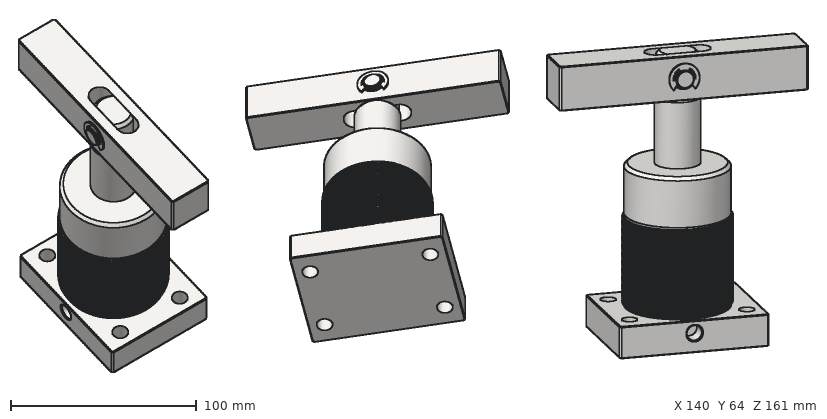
import cadquery as cq
import math

BASE_LENGTH = 84.0
BASE_WIDTH = 64.0
BASE_HEIGHT = 18.0
MOUNT_HOLE_DIA = 8.5
MOUNT_SPACING_X = 66.0
MOUNT_SPACING_Y = 40.0

PORT_RADIUS = 4.2
PORT_DEPTH = 10.0
PORT_CHAMFER = 0.6
PORT_Z = 11.0

BARREL_RADIUS = 29.0
BARREL_TOP_Z = 97.9
BARREL_CHAMFER = 2.0
THREAD_BAND_BOTTOM_Z = 18.8
THREAD_BAND_HEIGHT = 50.9
THREAD_ROOT_RADIUS = 29.1
THREAD_CREST_RADIUS = 30.0
THREAD_TURNS = 33
THREAD_LENGTH = 49.5
THREAD_PITCH = THREAD_LENGTH / THREAD_TURNS
THREAD_RIDGE_WIDTH = 0.9 * THREAD_PITCH
THREAD_START_Z = THREAD_BAND_BOTTOM_Z + (THREAD_BAND_HEIGHT - THREAD_LENGTH) / 2
THREAD_START_ANGLE = 120
THREAD_EMBEDMENT = 0.2

BAR_LENGTH = 140.0
BAR_SECTION = 25.0
BAR_TOP_Z = 161.0
BAR_BOTTOM_Z = BAR_TOP_Z - BAR_SECTION
SLOT_LENGTH = 37.0
SLOT_WIDTH = 12.0

CORNER_CHAMFER = 1.0
FACE_CHAMFER = 0.5

ROD_RADIUS = 12.5
ROD_CHAMFER = 1.0
TONGUE_RADIUS = ROD_RADIUS - ROD_CHAMFER
TONGUE_TOP_Z = BAR_TOP_Z
TONGUE_CHAMFER = 2.0

PIN_RADIUS = 5.0
PIN_LENGTH = 30.0
PIN_CHAMFER = 0.5
PIN_Z = BAR_TOP_Z - BAR_SECTION / 2
PIN_HOLE_COUNTERSINK = 1.1
GROOVE_RADIUS = 4.0
CLIP_RADIUS = 8.5
CLIP_THICKNESS = 1.0
CLIP_MOUTH_HALF_WIDTH = 3.4
CLIP_MOUTH_TOP = -2.1
CLIP_MOUTH_FLARE = 34
CLIP_RECESS_RADIUS = 6.3
CLIP_RECESSES = [(-5, 21), (30, 61)]


def chamfered_block(length, width, height, bottom_z):
    """Rectangular block with broken vertical corners and lightly broken end faces."""
    block = cq.Workplane("XY").workplane(offset=bottom_z).rect(length, width).extrude(height)
    block = block.edges("|Z").chamfer(CORNER_CHAMFER)
    return block.faces("<Z or >Z").edges().chamfer(FACE_CHAMFER)


def cylinder_y(radius, y_start, y_end, z):
    """Cylinder along Y, centred on X = 0 at height z."""
    return cq.Workplane("XZ", origin=(0, y_start, z)).circle(radius).extrude(y_start - y_end)


def countersink_y(hole_radius, depth, y_face, z, inward):
    """Conical 45 degree hole mouth starting on the face y = y_face; inward is +1 or -1 along Y."""
    return cq.Solid.makeCone(
        hole_radius + depth, hole_radius, depth, cq.Vector(0, y_face, z), cq.Vector(0, inward, 0)
    )


def make_flange():
    flange = chamfered_block(BASE_LENGTH, BASE_WIDTH, BASE_HEIGHT, 0)
    mount_holes = (
        cq.Workplane("XY")
        .rect(MOUNT_SPACING_X, MOUNT_SPACING_Y, forConstruction=True)
        .vertices()
        .circle(MOUNT_HOLE_DIA / 2)
        .extrude(BASE_HEIGHT)
    )
    return flange.cut(mount_holes)


def make_port():
    """Material removed by the blind port and its chamfered mouth."""
    front_y = -BASE_WIDTH / 2
    port = cylinder_y(PORT_RADIUS, front_y, front_y + PORT_DEPTH, PORT_Z)
    return port.union(cq.Workplane(countersink_y(PORT_RADIUS, PORT_CHAMFER, front_y, PORT_Z, 1)))


def make_thread_ridge():
    """Right-hand triangular ridge, bounded turn by turn by ruled faces between three helices."""
    foot_radius = THREAD_ROOT_RADIUS - THREAD_EMBEDMENT
    half_width = THREAD_RIDGE_WIDTH / 2
    corners = [(foot_radius, -half_width), (THREAD_CREST_RADIUS, 0), (foot_radius, half_width)]
    origin = cq.Vector(0, 0, 0)
    z_axis = cq.Vector(0, 0, 1)

    side_faces = []
    for turn in range(THREAD_TURNS):
        turn_z = THREAD_START_Z + turn * THREAD_PITCH
        rails = []
        for radius, offset in corners:
            helix = cq.Wire.makeHelix(THREAD_PITCH, THREAD_PITCH, radius)
            helix = helix.rotate(origin, z_axis, THREAD_START_ANGLE)
            rails.append(helix.translate(cq.Vector(0, 0, turn_z + offset)).Edges()[0])
        for i in range(len(rails)):
            side_faces.append(cq.Face.makeRuledSurface(rails[i - 1], rails[i]))

    end_faces = []
    for end_z in (THREAD_START_Z, THREAD_START_Z + THREAD_LENGTH):
        outline = [cq.Vector(radius, 0, end_z + offset) for radius, offset in corners]
        end_face = cq.Face.makeFromWires(cq.Wire.makePolygon(outline, close=True))
        end_faces.append(end_face.rotate(origin, z_axis, THREAD_START_ANGLE))

    ridge = cq.Solid.makeSolid(cq.Shell.makeShell(side_faces + end_faces))
    return cq.Workplane(ridge.fix())


def make_barrel():
    barrel = cq.Workplane("XY").circle(BARREL_RADIUS).extrude(BARREL_TOP_Z)
    barrel = barrel.faces(">Z").edges().chamfer(BARREL_CHAMFER)
    thread_band = (
        cq.Workplane("XY")
        .workplane(offset=THREAD_BAND_BOTTOM_Z)
        .circle(THREAD_ROOT_RADIUS)
        .extrude(THREAD_BAND_HEIGHT)
    )
    return barrel.union(thread_band)


def make_rod():
    rod = cq.Workplane("XY").circle(ROD_RADIUS).extrude(BAR_BOTTOM_Z)
    rod = rod.faces(">Z").edges().chamfer(ROD_CHAMFER)
    tongue = cq.Workplane("XY").circle(TONGUE_RADIUS).extrude(TONGUE_TOP_Z)
    tongue = tongue.faces(">Z").edges().chamfer(TONGUE_CHAMFER)
    tongue = tongue.intersect(cq.Workplane("XY").box(BAR_LENGTH, SLOT_WIDTH, 2 * BAR_TOP_Z))
    pin_hole = cylinder_y(PIN_RADIUS, -BAR_SECTION / 2, BAR_SECTION / 2, PIN_Z)
    return rod.union(tongue).cut(pin_hole)


def make_cylinder_body():
    """Flange, threaded barrel and rod in one piece."""
    threaded_barrel = make_barrel().union(make_thread_ridge())
    return threaded_barrel.union(make_flange()).union(make_rod()).cut(make_port())


def make_bar():
    bar = chamfered_block(BAR_LENGTH, BAR_SECTION, BAR_SECTION, BAR_BOTTOM_Z)
    slot = (
        cq.Workplane("XY")
        .workplane(offset=BAR_BOTTOM_Z)
        .slot2D(SLOT_LENGTH, SLOT_WIDTH)
        .extrude(BAR_SECTION)
    )
    half_width = BAR_SECTION / 2
    bar = bar.cut(slot).cut(cylinder_y(PIN_RADIUS, -half_width, half_width, PIN_Z))
    for side in (-1, 1):
        bar = bar.cut(countersink_y(PIN_RADIUS, PIN_HOLE_COUNTERSINK, side * half_width, PIN_Z, -side))
    return bar


def clip_disc(radius, side):
    """Disc in the space of the clip that sits against the bar face on the given side (-1 or +1)."""
    bar_face = side * BAR_SECTION / 2
    return cylinder_y(radius, bar_face, bar_face + side * CLIP_THICKNESS, PIN_Z)


def make_pin():
    half_length = PIN_LENGTH / 2
    pin = cylinder_y(PIN_RADIUS, -half_length, half_length, PIN_Z)
    pin = pin.faces("<Y or >Y").edges().chamfer(PIN_CHAMFER)
    for side in (-1, 1):
        pin = pin.cut(clip_disc(PIN_RADIUS, side).cut(clip_disc(GROOVE_RADIUS, side)))
    return pin


def polar(radius, angle):
    """Point at a radius and an angle in degrees."""
    return (radius * math.cos(math.radians(angle)), radius * math.sin(math.radians(angle)))


def make_clip(side):
    """Open retaining ring with its mouth facing down and relief recesses around the groove."""
    clip = clip_disc(CLIP_RADIUS, side).cut(clip_disc(GROOVE_RADIUS, side))
    plane = cq.Workplane("XZ", origin=(0, side * BAR_SECTION / 2, PIN_Z))
    thickness = -side * CLIP_THICKNESS

    mouth_bottom = -CLIP_RADIUS
    flare = (CLIP_MOUTH_TOP - mouth_bottom) * math.tan(math.radians(CLIP_MOUTH_FLARE))
    outer_half_width = CLIP_MOUTH_HALF_WIDTH + flare
    mouth = plane.polyline([
        (0, 0),
        (-CLIP_MOUTH_HALF_WIDTH, CLIP_MOUTH_TOP),
        (-outer_half_width, mouth_bottom),
        (outer_half_width, mouth_bottom),
        (CLIP_MOUTH_HALF_WIDTH, CLIP_MOUTH_TOP),
    ]).close().extrude(thickness)
    clip = clip.cut(mouth)

    for start, end in CLIP_RECESSES:
        for first, last in ((start, end), (180 - end, 180 - start)):
            recess = (
                plane.moveTo(0, 0)
                .lineTo(*polar(CLIP_RECESS_RADIUS, first))
                .threePointArc(
                    polar(CLIP_RECESS_RADIUS, (first + last) / 2), polar(CLIP_RECESS_RADIUS, last)
                )
                .close()
                .extrude(thickness)
            )
            clip = clip.cut(recess)
    return clip


cylinder_body = make_cylinder_body()
bar = make_bar()
pin = make_pin()
clips = [make_clip(side) for side in (-1, 1)]

result = cq.Compound.makeCompound([
    cylinder_body.val(),
    bar.val(),
    pin.val(),
    *[clip.val() for clip in clips],
])